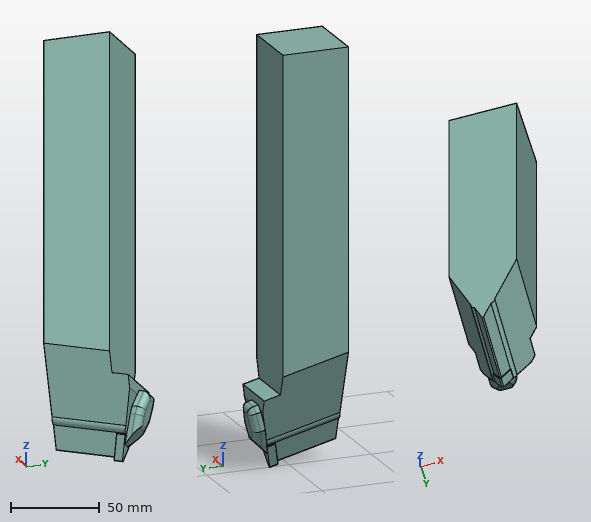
import cadquery as cq
import math

SHANK = 40.0
LENGTH = 251.4

TILT = 14.0
HALF_WEDGE = math.tan(math.radians(18.5))
HALF_SHANK = SHANK / 2

HOLDER_TIP_HEIGHT = 11.8
HOLDER_TIP_HALF = 0.5
STEP_LOW_HEIGHT = 25.0
STEP_HIGH_HEIGHT = 29.0
STEP_HIGH_HALF = 7.0
STEP_RADIUS = 3.8

HEAD_REACH = 49.8
HEAD_SHOULDER_Z = 48.0
HEAD_BACK_LENGTH = 7.0

INSERT_THICKNESS = 5.3
INSERT_TOP_HEIGHT = 24.1
INSERT_TIP_HALF = 0.5

CLAMP_HEIGHT = 7.0
CLAMP_NOSE_HEIGHT = 19.0
CLAMP_KNEE_HEIGHT = 31.0
CLAMP_SIDE_LOW = 36.7
CLAMP_RIGHT_HIGH = 41.5
CLAMP_SIDE_HIGH = 48.0
CLAMP_END_HEIGHT = 52.0
CLAMP_LEFT = -10.3
CLAMP_RIGHT = 5.0
CLAMP_END_LEFT = -8.5
CLAMP_END_RIGHT = 1.0
CLAMP_NOSE_HALF = 2.5
CLAMP_ROUND = 4.0

COS = math.cos(math.radians(TILT))
SIN = math.sin(math.radians(TILT))
TAN = SIN / COS

SHOULDER_Z = HEAD_SHOULDER_Z - (HEAD_REACH - SHANK) * TAN
SEAT_TOP_Z = SHOULDER_Z - HEAD_BACK_LENGTH
SEAT_BASE_Y = HEAD_REACH - SEAT_TOP_Z * TAN
SEAT_DEPTH = SEAT_BASE_Y * COS
INSERT_TIP_HEIGHT = SEAT_BASE_Y * SIN


def tilted_plane(depth):
    """Plane square to the tilted axis: local x is X, local y is tilted height."""
    origin = (0, depth * COS, -depth * SIN)
    return cq.Workplane(cq.Plane(origin=origin, xDir=(1, 0, 0), normal=(0, -COS, SIN)))


def tilted_prism(outline, start, end):
    """Extrude an outline drawn by a function along the tilted axis."""
    return outline(tilted_plane(start)).close().extrude(start - end)


def wedge_outline(plane):
    """Pointed nose with a concave step in each flank, widening into the shank."""
    low_half = HOLDER_TIP_HALF + (STEP_LOW_HEIGHT - HOLDER_TIP_HEIGHT) * HALF_WEDGE
    full_height = STEP_HIGH_HEIGHT + (HALF_SHANK - STEP_HIGH_HALF) / HALF_WEDGE
    top = 2 * LENGTH
    return (
        plane.moveTo(-HOLDER_TIP_HALF, HOLDER_TIP_HEIGHT)
        .lineTo(HOLDER_TIP_HALF, HOLDER_TIP_HEIGHT)
        .lineTo(low_half, STEP_LOW_HEIGHT)
        .radiusArc((STEP_HIGH_HALF, STEP_HIGH_HEIGHT), -STEP_RADIUS)
        .lineTo(HALF_SHANK, full_height)
        .lineTo(HALF_SHANK, top)
        .lineTo(-HALF_SHANK, top)
        .lineTo(-HALF_SHANK, full_height)
        .lineTo(-STEP_HIGH_HALF, STEP_HIGH_HEIGHT)
        .radiusArc((-low_half, STEP_LOW_HEIGHT), -STEP_RADIUS)
    )


def insert_outline(plane):
    top_half = INSERT_TIP_HALF + (INSERT_TOP_HEIGHT - INSERT_TIP_HEIGHT) * HALF_WEDGE
    return plane.polyline([
        (-INSERT_TIP_HALF, INSERT_TIP_HEIGHT),
        (INSERT_TIP_HALF, INSERT_TIP_HEIGHT),
        (top_half, INSERT_TOP_HEIGHT),
        (-top_half, INSERT_TOP_HEIGHT),
    ])


def clamp_outline(plane):
    return plane.polyline([
        (-CLAMP_NOSE_HALF, CLAMP_NOSE_HEIGHT),
        (CLAMP_NOSE_HALF, CLAMP_NOSE_HEIGHT),
        (CLAMP_RIGHT, CLAMP_SIDE_LOW),
        (CLAMP_RIGHT, CLAMP_RIGHT_HIGH),
        (CLAMP_END_RIGHT, CLAMP_END_HEIGHT),
        (CLAMP_END_LEFT, CLAMP_END_HEIGHT),
        (CLAMP_LEFT, CLAMP_SIDE_HIGH),
        (CLAMP_LEFT, CLAMP_SIDE_LOW),
    ])


def make_clamp_finger():
    """Rounded finger whose top slopes down to the nose."""
    top = SEAT_DEPTH + CLAMP_HEIGHT
    finger = tilted_prism(clamp_outline, SEAT_DEPTH, top)
    slope_plane = cq.Plane(origin=(0, 0, 0), xDir=(0, COS, -SIN), normal=(1, 0, 0))
    slope_cut = (
        cq.Workplane(slope_plane)
        .polyline([
            (SEAT_DEPTH, CLAMP_NOSE_HEIGHT),
            (top, CLAMP_KNEE_HEIGHT),
            (top, CLAMP_NOSE_HEIGHT),
        ])
        .close()
        .extrude(SHANK, both=True)
    )
    finger = finger.cut(slope_cut)
    top_face = cq.selectors.DirectionMinMaxSelector(cq.Vector(0, COS, -SIN))
    return finger.faces(top_face).edges().fillet(CLAMP_ROUND)


def make_holder():
    side = (
        cq.Workplane("YZ")
        .polyline([
            (0, 0),
            (0, LENGTH),
            (SHANK, LENGTH),
            (SHANK, HEAD_SHOULDER_Z),
            (HEAD_REACH, SHOULDER_Z),
            (HEAD_REACH, SEAT_TOP_Z),
            (SEAT_BASE_Y, 0),
        ])
        .close()
        .extrude(HALF_SHANK, both=True)
    )
    wedge = tilted_prism(wedge_outline, -LENGTH, LENGTH)
    return side.intersect(wedge).union(make_clamp_finger())


def make_insert():
    return tilted_prism(insert_outline, SEAT_DEPTH - INSERT_THICKNESS, SEAT_DEPTH)


insert = make_insert()
holder = make_holder().cut(insert)

result = cq.Compound.makeCompound([holder.val(), insert.val()])